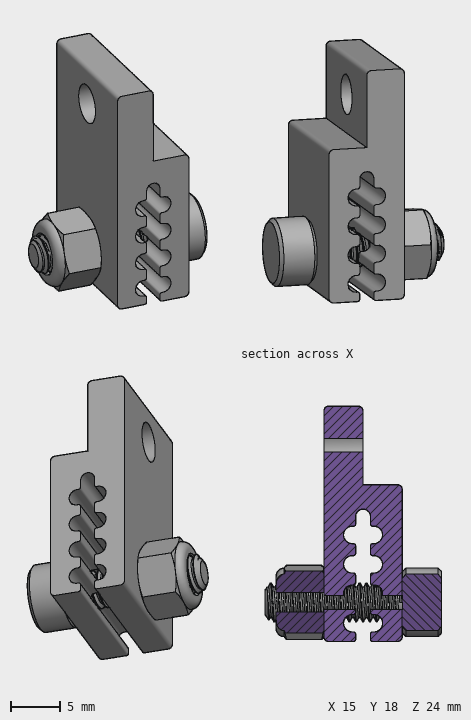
import cadquery as cq
import math

PLATE_WIDTH = 15.0
PLATE_HEIGHT = 24.0
STEP_HEIGHT = PLATE_HEIGHT * 2 / 3
PLATE_DEPTH = PLATE_HEIGHT / 3
FRONT_Y = -PLATE_DEPTH / 2
BACK_Y = PLATE_DEPTH / 2
EDGE_RADIUS = 0.5

PLATE_HOLE_RADIUS = 2.06
MOUNTING_HOLE_Z = PLATE_HEIGHT * 5 / 6
BOLT_AXIS_Z = PLATE_HEIGHT / 6

SLOT_WIDTH = 1.5
SLOT_TOP_Z = 13.5
POCKET_COUNT = 4
POCKET_PITCH = 3.0
LOWEST_POCKET_Z = 1.87
POCKET_CENTERS_Z = [LOWEST_POCKET_Z + i * POCKET_PITCH for i in range(POCKET_COUNT)]
POCKET_LENGTH = 3.95
POCKET_HEIGHT = 1.75
TOOTH_RADIUS = 0.25

BOLT_LENGTH = 18.0
HEAD_RADIUS = 3.5
HEAD_LENGTH = PLATE_DEPTH / 2
HEAD_CHAMFER = 0.35
SHANK_LENGTH = BOLT_LENGTH - HEAD_LENGTH
THREAD_RADIUS = 2.0
THREAD_ROOT_RADIUS = 1.58
THREAD_PITCH = 0.7
THREAD_CREST_WIDTH = THREAD_PITCH / 8
THREAD_ROOT_WIDTH = THREAD_PITCH / 4
TIP_RADIUS = 1.25
TIP_CHAMFER_LENGTH = 0.5

RIDGE_SINK = 0.05
CORE_EXCESS = 2.4
ENVELOPE_CLEARANCE = 0.17

NUT_FLAT_RADIUS = 3.5
NUT_CORNER_RADIUS = NUT_FLAT_RADIUS / math.cos(math.radians(30))
NUT_TURN = -10.0
NUT_HEX_LENGTH = 4.03
NUT_CHAMFER_LENGTH = 0.25
NUT_COLLAR_LENGTH = 0.85
NUT_BORE_RADIUS = 2.18


def axis_hole(radius, height):
    """Cylinder along Y, long enough to pass through the whole plate."""
    plane = cq.Workplane("XZ", origin=(0, BACK_Y, height))
    return plane.circle(radius).extrude(PLATE_DEPTH)


def place_on_bolt_axis(body, start_y):
    """Move a body built up along +Z from the origin so that it points along -Y from start_y."""
    turned = body.rotate((0, 0, 0), (1, 0, 0), 90)
    return turned.translate((0, start_y, BOLT_AXIS_Z))


def make_slot():
    """Toothed slot: an upright slot open at the bottom, crossed by the row of pockets."""
    round_center_z = SLOT_TOP_Z - SLOT_WIDTH / 2
    slot = (
        cq.Workplane("YZ", origin=(-PLATE_WIDTH / 2, 0, 0))
        .moveTo(-SLOT_WIDTH / 2, 0)
        .lineTo(-SLOT_WIDTH / 2, round_center_z)
        .threePointArc((0, SLOT_TOP_Z), (SLOT_WIDTH / 2, round_center_z))
        .lineTo(SLOT_WIDTH / 2, 0)
        .close()
        .extrude(PLATE_WIDTH)
    )
    pockets = (
        cq.Workplane("YZ", origin=(-PLATE_WIDTH / 2, 0, 0))
        .pushPoints([(0, z) for z in POCKET_CENTERS_Z])
        .slot2D(POCKET_LENGTH, POCKET_HEIGHT)
        .extrude(PLATE_WIDTH)
    )
    return slot.union(pockets)


def round_slot_teeth(plate):
    """Round the convex corners of the slot: two at each side of each pocket and two at the mouth."""
    corner_heights = [0]
    for pocket_z in POCKET_CENTERS_Z:
        corner_heights += [pocket_z - POCKET_HEIGHT / 2, pocket_z + POCKET_HEIGHT / 2]
    corners = []
    for z in corner_heights:
        for y in (-SLOT_WIDTH / 2, SLOT_WIDTH / 2):
            nearest = cq.selectors.NearestToPointSelector((0, y, z))
            corners += plate.edges("|X").edges(nearest).vals()
    return plate.newObject(corners).fillet(TOOTH_RADIUS)


def make_plate():
    block = (
        cq.Workplane("YZ", origin=(-PLATE_WIDTH / 2, 0, 0))
        .moveTo(FRONT_Y, 0)
        .lineTo(BACK_Y, 0)
        .lineTo(BACK_Y, STEP_HEIGHT)
        .lineTo(0, STEP_HEIGHT)
        .lineTo(0, PLATE_HEIGHT)
        .lineTo(FRONT_Y, PLATE_HEIGHT)
        .close()
        .extrude(PLATE_WIDTH)
    )
    long_edges = cq.selectors.StringSyntaxSelector("|X")
    inner_corner = cq.selectors.NearestToPointSelector((0, 0, STEP_HEIGHT))
    block = block.edges(long_edges - inner_corner).fillet(EDGE_RADIUS)
    plate = round_slot_teeth(block.cut(make_slot()))
    plate = plate.cut(axis_hole(PLATE_HOLE_RADIUS, MOUNTING_HOLE_Z))
    return plate.cut(axis_hole(PLATE_HOLE_RADIUS, BOLT_AXIS_Z))


def make_thread_ridge():
    """Right-handed helical ridge whose base sinks a little way into the core of the shank."""
    base_radius = THREAD_ROOT_RADIUS - RIDGE_SINK
    flank_run = (THREAD_PITCH - THREAD_CREST_WIDTH - THREAD_ROOT_WIDTH) / 2
    flank_slope = flank_run / (THREAD_RADIUS - THREAD_ROOT_RADIUS)
    half_crest = THREAD_CREST_WIDTH / 2
    half_base = half_crest + flank_slope * (THREAD_RADIUS - base_radius)
    helix = cq.Wire.makeHelix(THREAD_PITCH, SHANK_LENGTH + THREAD_PITCH, base_radius)
    return (
        cq.Workplane("XZ")
        .moveTo(base_radius, -half_base)
        .lineTo(THREAD_RADIUS, -half_crest)
        .lineTo(THREAD_RADIUS, half_crest)
        .lineTo(base_radius, half_base)
        .close()
        .sweep(cq.Workplane(helix), isFrenet=True)
    )


def make_shank():
    """Core and ridge, trimmed to length and to the cone at the tip."""
    core = (
        cq.Workplane("XY", origin=(0, 0, -CORE_EXCESS))
        .circle(THREAD_ROOT_RADIUS)
        .extrude(SHANK_LENGTH + 2 * CORE_EXCESS)
    )
    cone_slope = (THREAD_RADIUS - TIP_RADIUS) / TIP_CHAMFER_LENGTH
    envelope_radius = THREAD_RADIUS + ENVELOPE_CLEARANCE
    envelope = (
        cq.Workplane("XY")
        .circle(envelope_radius)
        .extrude(SHANK_LENGTH)
        .faces(">Z")
        .chamfer((envelope_radius - TIP_RADIUS) / cone_slope, envelope_radius - TIP_RADIUS)
    )
    return core.union(make_thread_ridge()).intersect(envelope)


def make_bolt():
    head = (
        cq.Workplane("XY")
        .circle(HEAD_RADIUS)
        .extrude(-HEAD_LENGTH)
        .faces("<Z or >Z")
        .chamfer(HEAD_CHAMFER)
    )
    return place_on_bolt_axis(head.union(make_shank()), BACK_Y)


def make_nut():
    """Hexagon with both ends chamfered by cones, and a rounded locking collar."""
    corner_drop = NUT_CORNER_RADIUS - NUT_FLAT_RADIUS
    nut_length = NUT_HEX_LENGTH + NUT_COLLAR_LENGTH
    hexagon = cq.Workplane("XY").polygon(6, 2 * NUT_CORNER_RADIUS).extrude(NUT_HEX_LENGTH)
    end_cones = (
        cq.Workplane("XY")
        .circle(NUT_CORNER_RADIUS)
        .extrude(NUT_HEX_LENGTH)
        .faces("<Z or >Z")
        .chamfer(NUT_CHAMFER_LENGTH, corner_drop)
    )
    collar = (
        cq.Workplane("XZ")
        .moveTo(0, NUT_HEX_LENGTH)
        .lineTo(NUT_FLAT_RADIUS, NUT_HEX_LENGTH)
        .radiusArc((NUT_FLAT_RADIUS - NUT_COLLAR_LENGTH, nut_length), -NUT_COLLAR_LENGTH)
        .lineTo(0, nut_length)
        .close()
        .revolve(360, (0, 0, 0), (0, 1, 0))
    )
    nut = hexagon.intersect(end_cones).union(collar)
    bore = cq.Workplane("XY").circle(NUT_BORE_RADIUS).extrude(nut_length)
    nut = nut.cut(bore).rotate((0, 0, 0), (0, 0, 1), NUT_TURN)
    return place_on_bolt_axis(nut, FRONT_Y)


plate = make_plate()
bolt = make_bolt()
nut = make_nut()
result = cq.Compound.makeCompound([plate.solids().val(), bolt.solids().val(), nut.solids().val()])